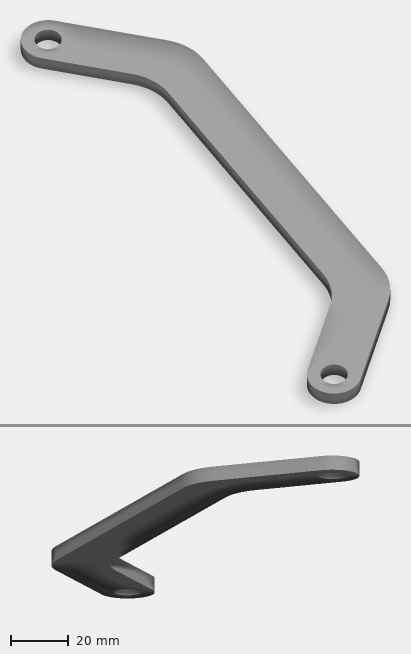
import cadquery as cq
import math

length = 210.0
depth = 50.4
thickness = 5.0
bar_width = 18.9
hole_diameter = 9.5
bend_radius = 20.0
arm_angle = 45.0

end_radius = bar_width / 2
eye_x = length / 2 - end_radius
eye_y = -depth / 2 + end_radius
bar_y = depth / 2 - end_radius
arm_rise = bar_y - eye_y
bend_x = eye_x - arm_rise / math.tan(math.radians(arm_angle))

corner_shift = end_radius * math.tan(math.radians(arm_angle / 2))
edge_x = end_radius * math.sin(math.radians(arm_angle))
edge_y = end_radius * math.cos(math.radians(arm_angle))


def bent_bar():
    """Flat bar with sloping arms, sharp bends and square arm ends."""
    right_edge = [
        (bend_x + corner_shift, bar_y + end_radius),
        (eye_x + edge_x, eye_y + edge_y),
        (eye_x - edge_x, eye_y - edge_y),
        (bend_x - corner_shift, bar_y - end_radius),
    ]
    left_edge = [(-x, y) for x, y in reversed(right_edge)]
    return cq.Workplane("XY").polyline(right_edge + left_edge).close().extrude(thickness)


def round_bends(body):
    """Round the outer and inner corner of both bends."""
    bend_zone = cq.selectors.BoxSelector(
        (-eye_x, bar_y - bar_width, 0),
        (eye_x, bar_y + bar_width, thickness),
    )
    return body.edges("|Z").edges(bend_zone).fillet(bend_radius)


eyes = [(-eye_x, eye_y), (eye_x, eye_y)]
round_ends = cq.Workplane("XY").pushPoints(eyes).circle(end_radius).extrude(thickness)
holes = cq.Workplane("XY").pushPoints(eyes).circle(hole_diameter / 2).extrude(thickness)

result = round_bends(bent_bar()).union(round_ends).cut(holes)